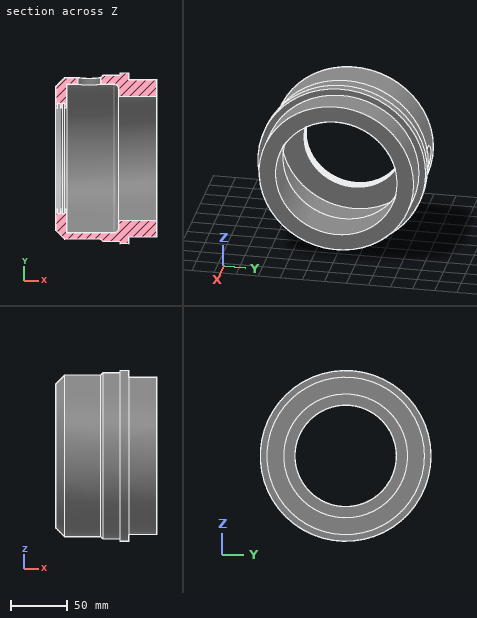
import cadquery as cq

flange_diameter = 152.0
length = 90.0

body_diameter = 144.0
front_face_diameter = 128.0
collar_diameter = 148.0
collar_start = 40.0
flange_start = 57.0
flange_width = 8.0
spigot_diameter = 140.0

mouth_diameter = 90.0
groove_diameter = 98.0
groove_count = 2
land_width = 2.0
groove_width = land_width
chamber_diameter = 132.0
chamber_end = 56.0
chamber_fillet = 4.0
rear_bore_diameter = 110.0

side_hole_diameter = 20.0
side_hole_x = 30.0

front_chamfer = (body_diameter - front_face_diameter) / 2
mouth_length = land_width + groove_count * (groove_width + land_width)
flange_end = flange_start + flange_width


def cylinder(diameter, start, end):
    """Solid cylinder on the X axis between two axial positions."""
    return cq.Workplane("YZ", origin=(start, 0, 0)).circle(diameter / 2).extrude(end - start)


def outer_body():
    body_radius = body_diameter / 2
    collar_radius = collar_diameter / 2
    flange_radius = flange_diameter / 2
    spigot_radius = spigot_diameter / 2
    collar_slope_end = collar_start + collar_radius - body_radius
    outline = [
        (0, 0),
        (0, front_face_diameter / 2),
        (front_chamfer, body_radius),
        (collar_start, body_radius),
        (collar_slope_end, collar_radius),
        (flange_start, collar_radius),
        (flange_start, flange_radius),
        (flange_end, flange_radius),
        (flange_end, spigot_radius),
        (length, spigot_radius),
        (length, 0),
    ]
    return cq.Workplane("XY").polyline(outline).close().revolve(360, (0, 0, 0), (1, 0, 0))


def inner_cavity():
    mouth = cylinder(mouth_diameter, 0, mouth_length)
    for index in range(groove_count):
        groove_start = land_width + index * (land_width + groove_width)
        mouth = mouth.union(cylinder(groove_diameter, groove_start, groove_start + groove_width))
    chamber = cylinder(chamber_diameter, mouth_length, chamber_end)
    chamber = chamber.faces(">X").edges().fillet(chamber_fillet)
    rear_bore = cylinder(rear_bore_diameter, chamber_end, length)
    return mouth.union(chamber).union(rear_bore)


def side_hole():
    drill = cq.Workplane("XZ", origin=(side_hole_x, 0, 0)).circle(side_hole_diameter / 2)
    return drill.extrude(-flange_diameter / 2)


result = outer_body().cut(inner_cavity()).cut(side_hole())